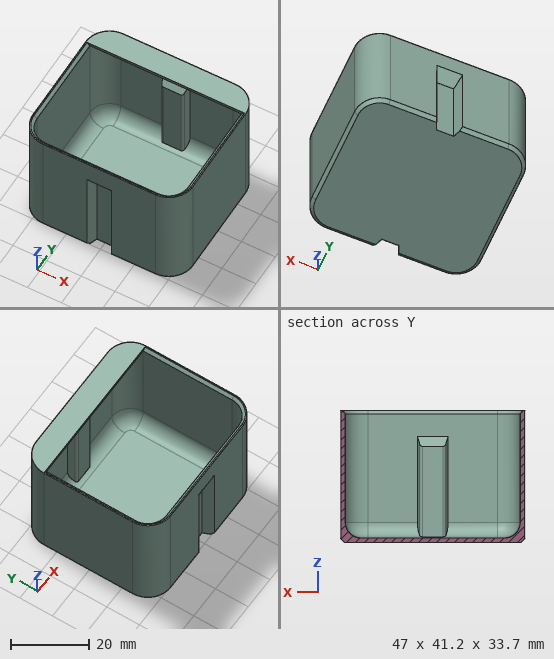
import cadquery as cq
import math

length = 47.0
width = 41.2
height = 33.7
corner_radius = 7.0
wall = 1.2
base_chamfer = 1.0

floor_thickness = 1.18
floor_fillet = 4.0
rim_width = 0.38
rim_slope_height = wall - rim_width

shelf_depth = 7.0
shelf_thickness = 0.8
shelf_underside_angle = 40.0

groove_width = 7.15
groove_floor_width = 4.8
groove_depth = 3.0
groove_height = 27.2
groove_floor_height = 24.05

rib_width = 7.8
rib_face_width = 6.3
rib_projection = 2.5
rib_height = 27.02
rib_edge_fillet = 0.8


def rounded_block(x_size, y_size, z_size, radius, base_z):
    block = cq.Workplane("XY").workplane(offset=base_z).rect(x_size, y_size).extrude(z_size)
    return block.edges("|Z").fillet(radius)


def trapezoid_bar(outer_y, outer_width, inner_width, depth, base_z, bar_height):
    """Upright bar that narrows toward +Y."""
    inner_y = outer_y + depth
    return (
        cq.Workplane("XY")
        .workplane(offset=base_z)
        .polyline([
            (-outer_width / 2, outer_y),
            (outer_width / 2, outer_y),
            (inner_width / 2, inner_y),
            (-inner_width / 2, inner_y),
        ])
        .close()
        .extrude(bar_height - base_z)
    )


def slope_top(bar, outer_y, outer_width, depth, bar_height, end_drop):
    """Cut the top of a bar so that it slopes down toward +Y."""
    inner_y = outer_y + depth
    top_cut = (
        cq.Workplane("YZ")
        .polyline([
            (outer_y, bar_height),
            (inner_y, bar_height),
            (inner_y, bar_height - end_drop),
        ])
        .close()
        .extrude(outer_width, both=True)
    )
    return bar.cut(top_cut)


def make_groove():
    outer_y = -width / 2
    end_drop = groove_height - groove_floor_height
    bar = trapezoid_bar(outer_y, groove_width, groove_floor_width, groove_depth, 0, groove_height)
    return slope_top(bar, outer_y, groove_width, groove_depth, groove_height, end_drop)


def make_rib():
    outer_y = wall - width / 2
    sunk_base_z = floor_thickness / 2
    bar = trapezoid_bar(outer_y, rib_width, rib_face_width, rib_projection, sunk_base_z, rib_height)
    bar = bar.edges("|Z and >Y").fillet(rib_edge_fillet)
    return slope_top(bar, outer_y, rib_width, rib_projection, rib_height, rib_projection)


def make_cavity():
    cavity = rounded_block(
        length - 2 * wall, width - 2 * wall, height - floor_thickness,
        corner_radius - wall, floor_thickness,
    )
    return cavity.faces("<Z").edges().fillet(floor_fillet)


def make_rim_slope():
    """Flare that thins the wall toward the rim."""
    taper = math.degrees(math.atan2(wall - rim_width, rim_slope_height))
    above_rim = rounded_block(
        length - 2 * rim_width, width - 2 * rim_width, rim_slope_height,
        corner_radius - rim_width, height,
    )
    rim_outline = above_rim.faces("<Z").wires().toPending().workplane()
    return rim_outline.extrude(rim_slope_height, taper=taper, combine=False)


def make_shelf(outer):
    """Shelf whose underside slopes steeply down to the back wall."""
    back_y = width / 2
    front_y = back_y - shelf_depth
    lower_z = height - shelf_thickness
    underside_drop = shelf_depth / math.tan(math.radians(shelf_underside_angle))
    wedge = (
        cq.Workplane("YZ")
        .polyline([
            (front_y, height),
            (back_y, height),
            (back_y, lower_z - underside_drop),
            (front_y, lower_z),
        ])
        .close()
        .extrude(length / 2, both=True)
    )
    return wedge.intersect(outer)


outer = rounded_block(length, width, height, corner_radius, 0)
outer = outer.faces("<Z").edges().chamfer(base_chamfer)
result = outer.cut(make_cavity()).cut(make_rim_slope()).union(make_shelf(outer))

front_rib = make_rib()
front_groove = make_groove()
for turn in (0, 180):
    result = result.union(front_rib.rotate((0, 0, 0), (0, 0, 1), turn))
for turn in (0, 180):
    result = result.cut(front_groove.rotate((0, 0, 0), (0, 0, 1), turn))